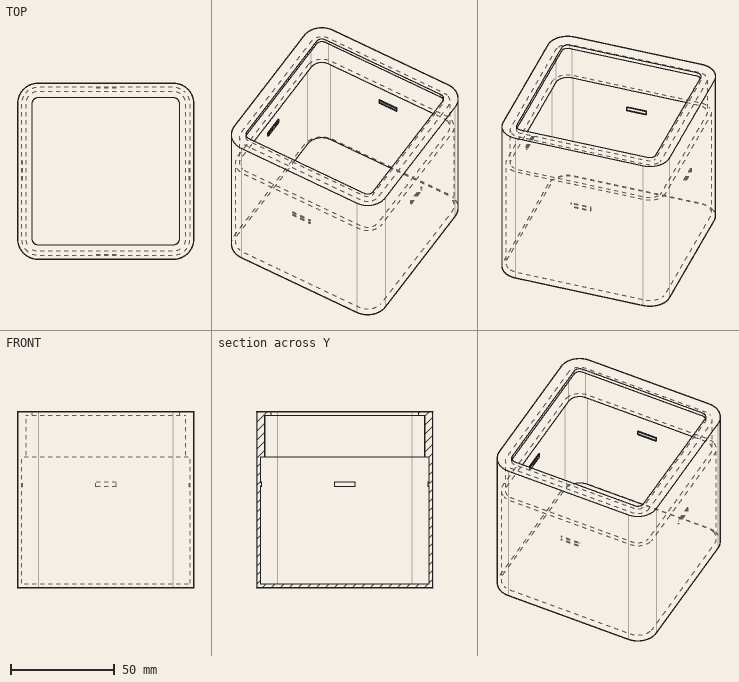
import cadquery as cq

SIDE = 85.0
HEIGHT = 85.0
CORNER_RADIUS = 10.0

RIM_WALL = 7.0
UPPER_WALL = 4.0
LOWER_WALL = 2.0
FLOOR_THICKNESS = LOWER_WALL

RIM_DEPTH = 2.0
UPPER_DEPTH = 22.0

TAB_LENGTH = 10.0
TAB_HEIGHT = 2.0
TAB_PROJECTION = 0.5
TAB_TOP_DEPTH = 34.0


def rounded_prism(wall, bottom, top):
    """Square prism inset by `wall`, its corners concentric with the outer ones."""
    width = SIDE - 2 * wall
    return (
        cq.Workplane("XY")
        .workplane(offset=bottom)
        .rect(width, width)
        .extrude(top - bottom)
        .edges("|Z")
        .fillet(CORNER_RADIUS - wall)
    )


def stepped_cavity():
    """Open-topped cavity that widens below the rim in two steps."""
    rim_bottom = HEIGHT - RIM_DEPTH
    upper_bottom = HEIGHT - UPPER_DEPTH
    rim = rounded_prism(RIM_WALL, rim_bottom, HEIGHT)
    upper = rounded_prism(UPPER_WALL, upper_bottom, rim_bottom)
    lower = rounded_prism(LOWER_WALL, FLOOR_THICKNESS, upper_bottom)
    return rim.union(upper).union(lower)


def wall_tab(angle):
    """Tab on one inner wall, embedded in the wall so that it fuses with it."""
    inner_face = SIDE / 2 - LOWER_WALL
    embed = LOWER_WALL / 2
    tab_bottom = HEIGHT - TAB_TOP_DEPTH - TAB_HEIGHT
    return (
        cq.Workplane("XY")
        .box(TAB_PROJECTION + embed, TAB_LENGTH, TAB_HEIGHT, centered=(False, True, False))
        .translate((inner_face - TAB_PROJECTION, 0, tab_bottom))
        .rotate((0, 0, 0), (0, 0, 1), angle)
    )


result = rounded_prism(0, 0, HEIGHT).cut(stepped_cavity())
for wall_angle in (0, 90, 180, 270):
    result = result.union(wall_tab(wall_angle))